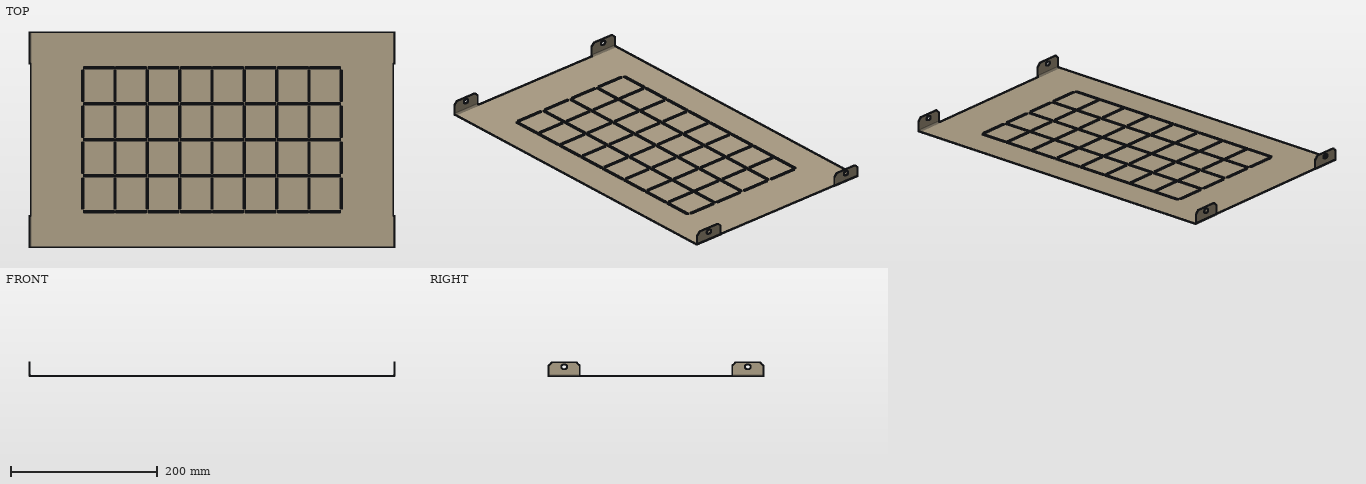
import cadquery as cq

length = 498.0
width = 293.0
height = 19.5

thickness = 1.0
bend_inner_radius = 1.0
bend_outer_radius = bend_inner_radius + thickness

tab_width = 43.0
tab_corner_chamfer = 5.0
tab_hole_length = 8.0
tab_hole_height = 6.0
tab_hole_z = 13.0

columns = 8
rows = 4
grid_length = 352.0
grid_width = 195.5
column_pitch = grid_length / columns
row_pitch = grid_width / rows
bridge = 3.0
slot_length = column_pitch - bridge
slot_width = 2.0

plate_length = length - 2 * bend_outer_radius
tab_center_y = (width - tab_width) / 2


def make_plate():
    """Flat sheet with its bottom face on Z = 0."""
    return cq.Workplane("XY").box(plate_length, width, thickness, centered=(True, True, False))


def make_tab(side, center_y):
    """Bent tab on the +X (side = 1) or -X (side = -1) edge."""
    bend_start = plate_length / 2
    outer_x = length / 2
    inner_x = outer_x - thickness
    profile = (
        cq.Workplane("XZ")
        .moveTo(side * bend_start, 0)
        .radiusArc((side * outer_x, bend_outer_radius), -side * bend_outer_radius)
        .lineTo(side * outer_x, height)
        .lineTo(side * inner_x, height)
        .lineTo(side * inner_x, bend_outer_radius)
        .radiusArc((side * bend_start, thickness), side * bend_inner_radius)
        .close()
    )
    tab = profile.extrude(tab_width / 2, both=True)
    tab = tab.faces(">Z").edges("|X").chamfer(tab_corner_chamfer)
    hole = (
        cq.Workplane("YZ", origin=(side * outer_x, 0, tab_hole_z))
        .slot2D(tab_hole_length, tab_hole_height)
        .extrude(2 * thickness, both=True)
    )
    return tab.cut(hole).translate((0, center_y, 0))


def slot_cutter(centers, size_x, size_y):
    """Rectangular slots through the sheet at the given centers."""
    return cq.Workplane("XY").pushPoints(centers).rect(size_x, size_y).extrude(thickness)


def grid_positions(count, pitch):
    """Evenly spaced coordinates centered on zero."""
    return [(i - (count - 1) / 2) * pitch for i in range(count)]


column_centers = grid_positions(columns, column_pitch)
column_borders = grid_positions(columns + 1, column_pitch)
row_centers = grid_positions(rows, row_pitch)
row_borders = grid_positions(rows + 1, row_pitch)

slots_along_x = slot_cutter([(x, y) for x in column_centers for y in row_borders], slot_length, slot_width)
slots_along_y = slot_cutter([(x, y) for x in column_borders for y in row_centers], slot_width, slot_length)

result = make_plate().cut(slots_along_x).cut(slots_along_y)
for side in (-1, 1):
    for center_y in (-tab_center_y, tab_center_y):
        result = result.union(make_tab(side, center_y))